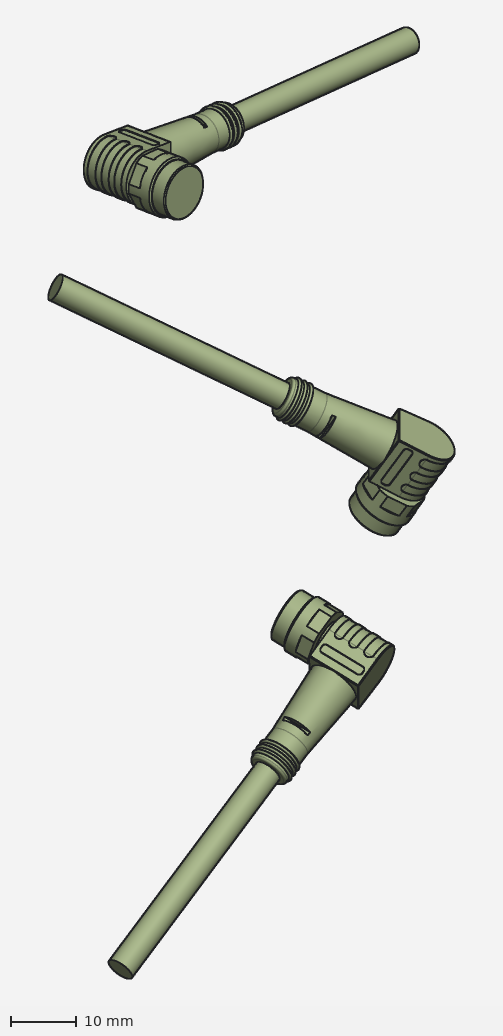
import cadquery as cq
import math

nut_diameter = 9.6
total_length = 68.3
total_width = 16.9

body_width = 8.95
body_radius = 4.45
body_back_y = 5.5
cable_x = 4.5
side_taper_angle = 3.0
body_chamfer = 0.15

grip_grooves = [(0.9, 2.5), (3.75, 5.25), (6.4, 7.85)]
groove_depth = 0.1
groove_crown_y = 0.75

recess_length = 7.6
recess_width = 1.5
recess_center_y = 3.2
recess_floor_z = 4.1
recess_corner_radius = 0.55

neck_radius = 5.9 / 2
nut_start_x = 9.8
flats_end_x = 12.0
nut_end_x = 14.3
nut_chamfer = 0.3
nut_radius = nut_diameter / 2
flat_count = 6
flat_distance = 4.5
collar_radius = 8.8 / 2
collar_chamfer = 0.2

cable_radius = 4.4 / 2
cable_end_y = total_length - nut_radius
boot_start_y = body_back_y - body_chamfer
boot_base_radius = 4.1
boot_radius = 6.5 / 2
boot_taper_end_y = 17.5
boot_end_y = 23.4
boot_end_fillet = 0.4
ring_crest_radius = 7.2 / 2
ring_section_radius = 0.3
ring_pitch = 1.0
ring_count = 3
first_ring_y = 20.2
notch_start_y = 15.4
notch_width = 0.6
notch_floor_z = 2.45

far = 2 * nut_diameter


def x_cylinder(radius, start, end):
    return cq.Workplane("YZ").workplane(offset=start).circle(radius).extrude(end - start)


def housing_solid(inset):
    """Round-nosed housing with flat sides tangent to the nose, its outline shrunk by the inset."""
    angle = math.radians(side_taper_angle)
    radius = body_radius - inset
    tangent_y = radius * math.sin(angle)
    tangent_z = radius * math.cos(angle)
    back_z = tangent_z - (body_back_y - tangent_y) * math.tan(angle)
    return (
        cq.Workplane("YZ")
        .moveTo(body_back_y, back_z)
        .lineTo(tangent_y, tangent_z)
        .threePointArc((-radius, 0), (tangent_y, -tangent_z))
        .lineTo(body_back_y, -back_z)
        .close()
        .extrude(body_width)
    )


def make_grip_groove(start, end):
    """Shallow groove around the nose, its ends rounded where they run onto the flat sides."""
    shoulder_y = body_radius * math.sin(math.radians(side_taper_angle))
    footprint = (
        cq.Workplane("XY")
        .moveTo(start, -far)
        .lineTo(start, shoulder_y)
        .threePointArc(((start + end) / 2, groove_crown_y), (end, shoulder_y))
        .lineTo(end, -far)
        .close()
        .extrude(far, both=True)
    )
    return footprint.cut(housing_solid(groove_depth))


def make_body():
    """Housing with chamfered edges, grip grooves and a label recess on its top and bottom."""
    body = housing_solid(0).faces("<X or >Y").edges("<X or (|X and >Y)").chamfer(body_chamfer)
    for start, end in grip_grooves:
        body = body.cut(make_grip_groove(start, end))
    recess = (
        cq.Workplane("XY")
        .center(cable_x, recess_center_y)
        .rect(recess_length, recess_width)
        .extrude(far)
        .edges("|Z")
        .fillet(recess_corner_radius)
        .translate((0, 0, recess_floor_z))
    )
    return body.cut(recess).cut(recess.mirror("XY"))


def make_nut():
    """Coupling nut with wrench flats at its back and a plain collar in front."""
    nut = x_cylinder(nut_radius, nut_start_x, nut_end_x).faces(">X").chamfer(nut_chamfer)
    flat_cut = (
        cq.Workplane("XY")
        .box(flats_end_x - nut_start_x, far, far, centered=(False, True, False))
        .translate((nut_start_x, 0, flat_distance))
    )
    for index in range(flat_count):
        nut = nut.cut(flat_cut.rotate((0, 0, 0), (1, 0, 0), index * 360 / flat_count))
    collar = x_cylinder(collar_radius, flats_end_x, total_width).faces(">X").chamfer(collar_chamfer)
    return nut.union(collar)


def make_boot():
    """Tapered boot with a rounded end, grip rings and two relief notches."""
    boot = (
        cq.Workplane("XY")
        .moveTo(0, boot_start_y)
        .lineTo(boot_base_radius, boot_start_y)
        .lineTo(boot_base_radius, body_back_y)
        .lineTo(boot_radius, boot_taper_end_y)
        .lineTo(boot_radius, boot_end_y)
        .lineTo(0, boot_end_y)
        .close()
        .revolve(360, (0, 0, 0), (0, 1, 0))
    )
    boot = boot.faces(">Y").edges().fillet(boot_end_fillet)
    ring_center_radius = ring_crest_radius - ring_section_radius
    for index in range(ring_count):
        ring_y = first_ring_y + index * ring_pitch
        ring = (
            cq.Workplane("XY")
            .moveTo(ring_center_radius, ring_y - ring_section_radius)
            .threePointArc((ring_crest_radius, ring_y), (ring_center_radius, ring_y + ring_section_radius))
            .lineTo(0, ring_y + ring_section_radius)
            .lineTo(0, ring_y - ring_section_radius)
            .close()
            .revolve(360, (0, 0, 0), (0, 1, 0))
        )
        boot = boot.union(ring)
    notch = (
        cq.Workplane("XY")
        .box(far, notch_width, far, centered=(True, False, False))
        .translate((0, notch_start_y, notch_floor_z))
    )
    boot = boot.cut(notch).cut(notch.mirror("XY"))
    return boot.translate((cable_x, 0, 0))


def make_cable():
    return (
        cq.Workplane("XZ", origin=(cable_x, boot_end_y, 0))
        .circle(cable_radius)
        .extrude(boot_end_y - cable_end_y)
    )


neck = x_cylinder(neck_radius, body_width, nut_start_x)
result = make_body().union(neck).union(make_nut()).union(make_boot()).union(make_cable())